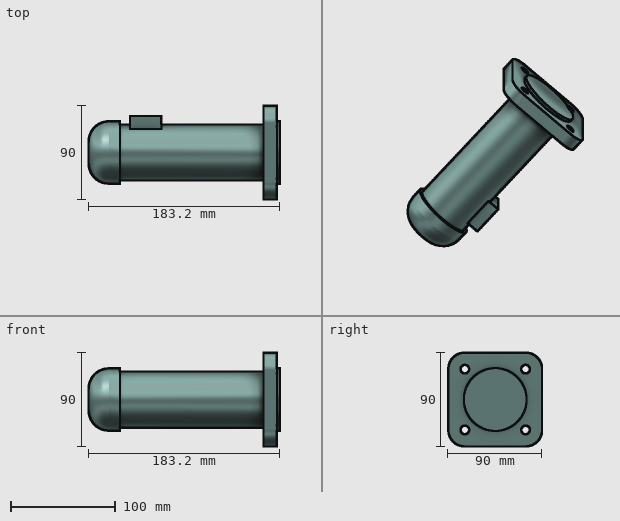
import cadquery as cq

total_length = 183.2
cap_length = 30.0
dome_radius = 20.0
spigot_length = 3.0
flange_thickness = 13.0

cap_diameter = 60.0
tube_diameter = 54.0
spigot_diameter = 60.0

flange_side = 90.0
flange_corner_radius = 16.0
hole_spacing = flange_side - 2 * flange_corner_radius
hole_diameter = 8.0

box_start = 39.8
box_length = 30.0
box_height = 30.0
box_outer_y = 35.0

flange_end = total_length - spigot_length
flange_start = flange_end - flange_thickness


def cylinder_along_x(diameter, start, end):
    return cq.Workplane("YZ", origin=(start, 0, 0)).circle(diameter / 2).extrude(end - start)


def make_cap():
    cap = cylinder_along_x(cap_diameter, 0, cap_length)
    return cap.faces("<X").edges().fillet(dome_radius)


def make_flange():
    plate = (
        cq.Workplane("YZ", origin=(flange_start, 0, 0))
        .rect(flange_side, flange_side)
        .extrude(flange_thickness)
        .edges("|X")
        .fillet(flange_corner_radius)
    )
    holes = (
        cq.Workplane("YZ", origin=(flange_start, 0, 0))
        .rect(hole_spacing, hole_spacing, forConstruction=True)
        .vertices()
        .circle(hole_diameter / 2)
        .extrude(flange_thickness)
    )
    return plate.cut(holes)


def make_terminal_box():
    return cq.Workplane("XY", origin=(box_start, 0, 0)).box(
        box_length, box_outer_y, box_height, centered=(False, False, True)
    )


tube = cylinder_along_x(tube_diameter, cap_length, flange_start)
spigot = cylinder_along_x(spigot_diameter, flange_end, total_length)

result = make_cap().union(tube).union(make_flange()).union(spigot).union(make_terminal_box())